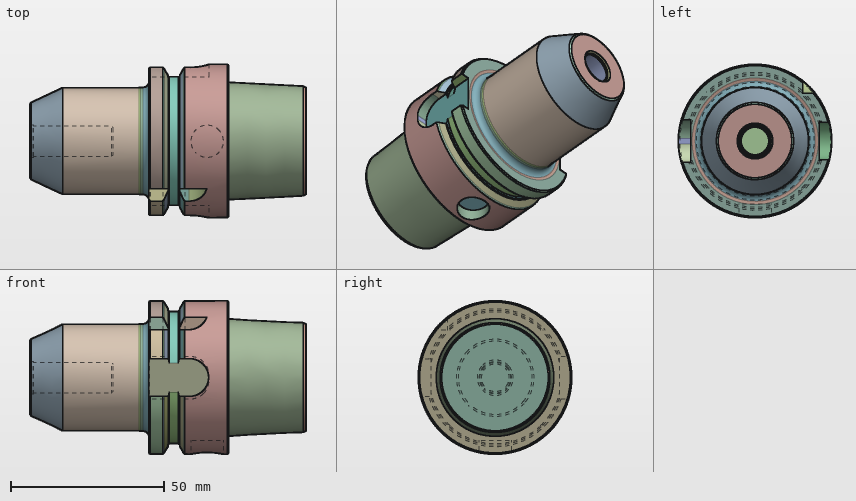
import cadquery as cq
import math

length = 90.0
flange_radius = 25.0
edge_chamfer = 0.45

nose_radius = 12.6
nose_chamfer_drop = 0.6
nose_cone_end = 10.7
front_radius = 34.8 / 2
collar_radius = 35.0 / 2
collar_start = 35.5
collar_taper_end = 36.0

root_fillet = 2.1
recess_depth = 0.2
recess_radius = 20.6

flange_start = 38.7
flange_end = 64.8
groove_radius = 21.5
groove_wall_radius = 22.5
groove_start = 45.0
groove_end = 48.8
groove_flank_run = 1.3
groove_root_chamfer = 0.45
groove_rim_chamfer = 0.45

shank_root_radius = 19.2
shank_tip_radius = 17.9
shank_tip_chamfer = 0.9
shank_chamfer_drop = 0.5

bore_diameter = 10.0
bore_mouth_diameter = 11.6
counterbore_diameter = 10.5
mouth_chamfer_depth = 0.5
counterbore_depth = 1.1
bore_depth = 27.0
bore_floor_diameter = 9.0

slot_floor = 21.0
slot_end = 58.2
narrow_slot_width = 12.2
wide_slot_width = 13.9
wide_slot_corner_radius = 6.0

notch_offset = 15.6
notch_end_radius = 6.3
notch_floor_end = 51.75

pocket_diameter = 10.5
pocket_center = 57.7
pocket_depth = 4.5


def make_body():
    """Revolve the outer half profile, drawn as X along the axis and Y as radius."""
    fillet_end = flange_start + recess_depth
    fillet_start = fillet_end - root_fillet
    fillet_top = collar_radius + root_fillet
    arc_offset = root_fillet * math.sin(math.radians(45))
    rim_radius = flange_radius - groove_rim_chamfer
    front_flank = groove_start - groove_flank_run
    rear_flank = groove_end + groove_flank_run
    root_radius = groove_radius + groove_root_chamfer
    profile = (
        cq.Workplane("XY")
        .lineTo(0, nose_radius - nose_chamfer_drop)
        .lineTo(edge_chamfer, nose_radius)
        .lineTo(nose_cone_end, front_radius)
        .lineTo(collar_start, front_radius)
        .lineTo(collar_taper_end, collar_radius)
        .lineTo(fillet_start, collar_radius)
        .threePointArc(
            (fillet_start + arc_offset, fillet_top - arc_offset),
            (fillet_end, fillet_top),
        )
        .lineTo(flange_start, recess_radius)
        .lineTo(flange_start, flange_radius - edge_chamfer)
        .lineTo(flange_start + edge_chamfer, flange_radius)
        .lineTo(front_flank - groove_rim_chamfer, flange_radius)
        .lineTo(front_flank, rim_radius)
        .lineTo(groove_start, groove_wall_radius)
        .lineTo(groove_start, root_radius)
        .lineTo(groove_start + groove_root_chamfer, groove_radius)
        .lineTo(groove_end - groove_root_chamfer, groove_radius)
        .lineTo(groove_end, root_radius)
        .lineTo(groove_end, groove_wall_radius)
        .lineTo(rear_flank, rim_radius)
        .lineTo(rear_flank + groove_rim_chamfer, flange_radius)
        .lineTo(flange_end - edge_chamfer, flange_radius)
        .lineTo(flange_end, flange_radius - edge_chamfer)
        .lineTo(flange_end, shank_root_radius)
        .lineTo(length - shank_tip_chamfer, shank_tip_radius)
        .lineTo(length, shank_tip_radius - shank_chamfer_drop)
        .lineTo(length, 0)
        .close()
    )
    return profile.revolve(360, (0, 0, 0), (1, 0, 0))


def make_bore():
    """Blind bore with a chamfered, shallowly counterbored mouth and a chamfered floor edge."""
    bore_radius = bore_diameter / 2
    floor_radius = bore_floor_diameter / 2
    return (
        cq.Workplane("XY")
        .lineTo(0, bore_mouth_diameter / 2)
        .lineTo(mouth_chamfer_depth, counterbore_diameter / 2)
        .lineTo(counterbore_depth, counterbore_diameter / 2)
        .lineTo(counterbore_depth, bore_radius)
        .lineTo(bore_depth - (bore_radius - floor_radius), bore_radius)
        .lineTo(bore_depth, floor_radius)
        .lineTo(bore_depth, 0)
        .close()
        .revolve(360, (0, 0, 0), (1, 0, 0))
    )


def make_narrow_slot():
    """Slot on the -Y side, open at the front flange face, with a half-round end."""
    half_width = narrow_slot_width / 2
    arc_center = slot_end - half_width
    return (
        cq.Workplane("XZ", origin=(0, -slot_floor, 0))
        .moveTo(flange_start, -half_width)
        .lineTo(arc_center, -half_width)
        .threePointArc((slot_end, 0), (arc_center, half_width))
        .lineTo(flange_start, half_width)
        .close()
        .extrude(flange_radius - slot_floor)
    )


def make_wide_slot():
    """Slot on the +Y side, open at the front flange face, with a short flat at its end."""
    return (
        cq.Workplane("XY")
        .box(
            slot_end - flange_start,
            flange_radius - slot_floor,
            wide_slot_width,
            centered=(False, False, True),
        )
        .translate((flange_start, slot_floor, 0))
        .edges("|Y and >X")
        .fillet(wide_slot_corner_radius)
    )


def make_notch():
    """Corner notch on the -Y, +Z side, its floor sweeping up in an arc at the end."""
    arc_end = notch_floor_end + notch_end_radius
    arc_top = notch_offset + notch_end_radius
    arc_offset = notch_end_radius * math.sin(math.radians(45))
    return (
        cq.Workplane("XZ", origin=(0, -notch_offset, 0))
        .moveTo(flange_start, notch_offset)
        .lineTo(notch_floor_end, notch_offset)
        .threePointArc(
            (notch_floor_end + arc_offset, arc_top - arc_offset),
            (arc_end, arc_top),
        )
        .lineTo(arc_end, flange_radius)
        .lineTo(flange_start, flange_radius)
        .close()
        .extrude(flange_radius - notch_offset)
    )


def make_pocket():
    """Blind round pocket entering radially from -Z."""
    return (
        cq.Workplane("XY", origin=(pocket_center, 0, -flange_radius))
        .circle(pocket_diameter / 2)
        .extrude(pocket_depth)
    )


result = (
    make_body()
    .cut(make_bore())
    .cut(make_narrow_slot())
    .cut(make_wide_slot())
    .cut(make_notch())
    .cut(make_pocket())
)